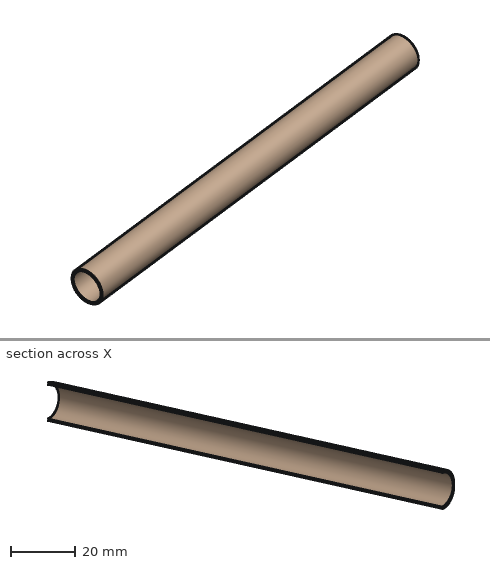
import cadquery as cq

length = 152.4
outer_diameter = 12.6
wall_thickness = 0.8

outer_radius = outer_diameter / 2
inner_radius = outer_radius - wall_thickness

result = (
    cq.Workplane("XZ", origin=(0, length / 2, 0))
    .circle(outer_radius)
    .circle(inner_radius)
    .extrude(length)
)